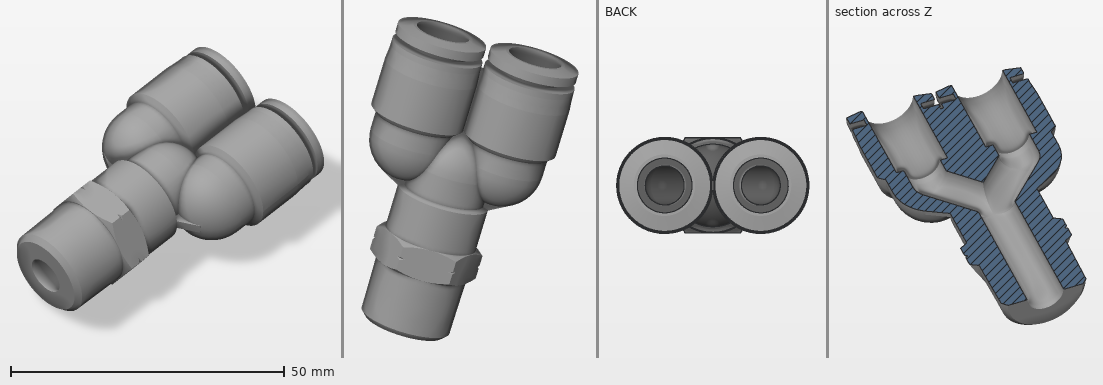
import cadquery as cq
import math

total_length = 55.7

thread_tip_radius = 8.4
thread_chamfer = 1.0
body_radius = 8.6
body_end = 25.55
hex_start = 11.5
hex_end = 17.5
hex_flats = 17.5
hex_chamfer_angle = 30.0
hex_notch_radius = 9.65
hex_notch_half_width = 0.3
hex_envelope_margin = 0.55
neck_radius = 7.6
neck_start = 26.05
dome_center = 31.1

sleeve_radius = 8.8
arm_offset = sleeve_radius
elbow_center = 34.35
sleeve_start = 38.9
sleeve_chamfer_length = 1.0
sleeve_taper_start = 47.9
sleeve_taper_end = 50.9
sleeve_end = 52.1
sleeve_mouth_radius = 8.6
collar_neck_radius = 5.6
collar_start = 53.4
collar_crown_start = 55.15
collar_radius = 8.4

rib_thickness = 1.9
web_width = 3.35

bore_radius = 3.55
tube_radius = 5.0
fork_y = elbow_center - arm_offset


def cylinder_along(start, direction, radius, length):
    """Solid cylinder from a start point along a direction."""
    return cq.Workplane(cq.Solid.makeCylinder(radius, length, cq.Vector(*start), cq.Vector(*direction)))


def turned(outline):
    """Revolve a closed (radius, y) polyline about the Y axis."""
    return cq.Workplane("XY").polyline(outline).close().revolve(360, (0, 0), (0, 1))


def domed_cylinder(radius, center, end):
    """Cylinder along Y with a hemispherical end centred on y = center."""
    dome_height = math.copysign(radius, center - end)
    diagonal = math.sqrt(0.5)
    return (
        cq.Workplane("XY")
        .moveTo(0, end)
        .lineTo(radius, end)
        .lineTo(radius, center)
        .threePointArc((radius * diagonal, center + dome_height * diagonal), (0, center + dome_height))
        .close()
        .revolve(360, (0, 0), (0, 1))
    )


def make_hexagon():
    """Hexagon with conical ends and a V notch across each corner."""
    corner_radius = hex_flats / math.sqrt(3)
    outer_radius = corner_radius + hex_envelope_margin
    flat_radius = hex_flats / 2
    cone_length = (outer_radius - flat_radius) * math.tan(math.radians(hex_chamfer_angle))
    middle = (hex_start + hex_end) / 2
    notch_slope = hex_notch_half_width / (corner_radius - hex_notch_radius)
    notch_half_width = (outer_radius - hex_notch_radius) * notch_slope
    envelope = turned([
        (0, hex_start),
        (flat_radius, hex_start),
        (outer_radius, hex_start + cone_length),
        (outer_radius, middle - notch_half_width),
        (hex_notch_radius, middle),
        (outer_radius, middle + notch_half_width),
        (outer_radius, hex_end - cone_length),
        (flat_radius, hex_end),
        (0, hex_end),
    ])
    prism = (
        cq.Workplane("XZ", origin=(0, hex_start, 0))
        .polygon(6, 2 * corner_radius)
        .extrude(hex_start - hex_end)
    )
    return prism.intersect(envelope)


def make_stem():
    body = turned([
        (0, 0),
        (thread_tip_radius - thread_chamfer, 0),
        (thread_tip_radius, thread_chamfer),
        (body_radius, hex_start),
        (body_radius, body_end),
        (neck_radius, neck_start),
        (0, neck_start),
    ])
    neck = domed_cylinder(neck_radius, dome_center, body_end)
    return body.union(make_hexagon()).union(neck)


def make_arm():
    """One arm, centred on the Y axis."""
    elbow = domed_cylinder(neck_radius, elbow_center, sleeve_start)
    sleeve = turned([
        (0, sleeve_start - sleeve_chamfer_length),
        (neck_radius, sleeve_start - sleeve_chamfer_length),
        (sleeve_radius, sleeve_start),
        (sleeve_radius, sleeve_taper_start),
        (sleeve_mouth_radius, sleeve_taper_end),
        (sleeve_mouth_radius, sleeve_end),
        (collar_neck_radius, sleeve_end),
        (collar_neck_radius, collar_start),
        (collar_radius, collar_start),
        (collar_radius, collar_crown_start),
        (collar_neck_radius, total_length),
        (0, total_length),
    ])
    return elbow.union(sleeve)


def make_rib(side):
    """Flat rib from the body shoulder, tangent to the elbow dome on one side."""
    to_center_x = arm_offset - body_radius
    to_center_y = elbow_center - body_end
    distance = math.hypot(to_center_x, to_center_y)
    tangent_length = math.sqrt(distance**2 - neck_radius**2)
    tangent_angle = math.atan2(to_center_y, to_center_x) - math.asin(neck_radius / distance)
    tangent_x = body_radius + tangent_length * math.cos(tangent_angle)
    tangent_y = body_end + tangent_length * math.sin(tangent_angle)
    outline = [
        (0, body_end),
        (side * body_radius, body_end),
        (side * tangent_x, tangent_y),
        (side * arm_offset, elbow_center),
        (0, elbow_center),
    ]
    return cq.Workplane("XY").polyline(outline).close().extrude(rib_thickness / 2, both=True)


def make_web():
    """Thin web along the line where the two sleeves touch."""
    length = sleeve_taper_end - elbow_center
    return (
        cq.Workplane("XY")
        .box(web_width, length, rib_thickness)
        .translate((0, elbow_center + length / 2, 0))
    )


def make_arm_passage(side):
    """Branch at 45 degrees from the stem bore, then straight out through the tube socket."""
    x = side * arm_offset
    branch = cylinder_along((0, fork_y, 0), (side, 1, 0), bore_radius, arm_offset * math.sqrt(2))
    outlet = domed_cylinder(bore_radius, elbow_center, sleeve_start)
    socket = cylinder_along((0, sleeve_start, 0), (0, 1, 0), tube_radius, total_length - sleeve_start)
    return branch.union(outlet.union(socket).translate((x, 0, 0)))


result = make_stem().union(make_web())
for side in (-1, 1):
    result = result.union(make_arm().translate((side * arm_offset, 0, 0)))
    result = result.union(make_rib(side))

stem_bore = domed_cylinder(bore_radius, fork_y, 0)
result = result.cut(stem_bore)
for side in (-1, 1):
    result = result.cut(make_arm_passage(side))